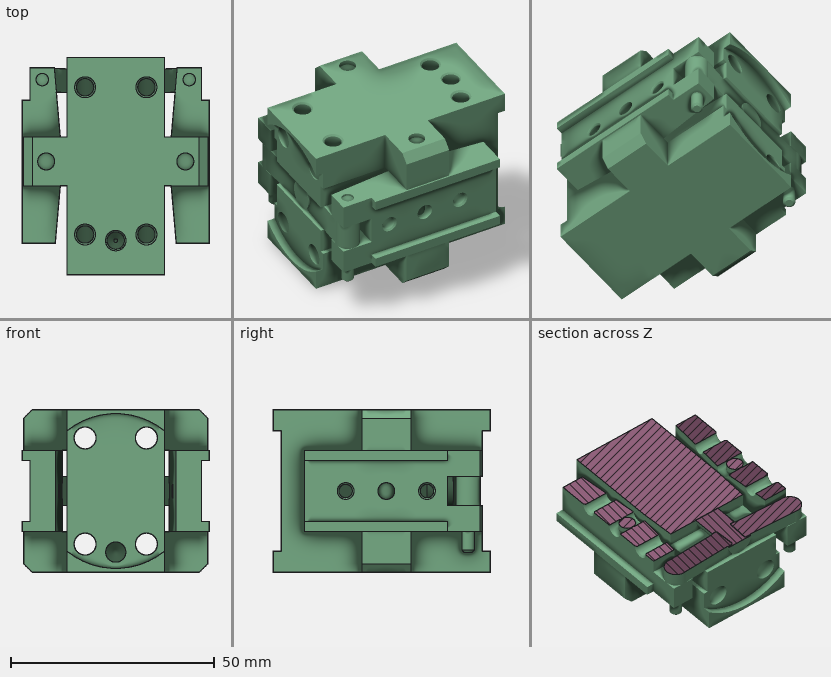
import cadquery as cq
import math


sides = (-1, 1)

core_width = 24.0
core_height = 40.0
overall_length = 53.4
back_y = overall_length / 2
front_y = -overall_length / 2

recess_radius = 19.0
recess_depth = 2.0

arm_span = 45.25
arm_length = 12.0
arm_chamfer = 2.15
pivot_x = 17.1
pivot_y = 1.1
pivot_diameter = 4.15
pivot_recess = 1.25

jaw_height = 19.95
jaw_span = 46.0
jaw_outer_x = jaw_span / 2
jaw_back_y = 24.15
jaw_front_y = -19.0
jaw_crest_radius = 4.0
jaw_taper = 5.0
flange_height = 2.5
flange_depth = 1.9
jaw_face_x = jaw_outer_x - flange_depth
jaw_crest_x = pivot_x - jaw_crest_radius
flange_end_y = 16.2
jaw_hole_spacing = 10.0
jaw_thread_diameter = 3.3
jaw_thread_mouth = 4.1

link_height = 7.15
link_x = 18.05
link_y = 21.2
link_radius = 3.0
link_bar_width = 5.9
link_end_x = 2.15
link_tilt = 2.6
pin_diameter = 3.05
pin_recess = 0.55
pin_bottom_z = -15.05
pin_chamfer = 0.55

slot_front_y = 11.15
rod_radius = link_height / 2
rod_back_y = 24.05
relief_depth = 1.1

bolt_x = 7.55
bolt_z = 13.05
bolt_diameter = 5.35
thread_back_y = 19.35
thread_front_y = -16.8
thread_diameter = 4.25
thread_mouth = 5.1
port_depth = 5.35
drill_tip_angle = 118.0
front_port_diameter = 4.95
front_port_z = -15.0
top_port_y = -18.3
top_port_diameter = 4.25
top_port_mouth = 5.0
duct_diameter = 0.9
duct_length = 2.15


def box(x_range, y_range, z_range):
    """Box between the given limits."""
    size = [high - low for low, high in (x_range, y_range, z_range)]
    corner = (x_range[0], y_range[0], z_range[0])
    return cq.Workplane(cq.Solid.makeBox(*size, cq.Vector(*corner)))


def cylinder(radius, start, length, direction):
    """Cylinder that starts at a point and runs along a direction."""
    return cq.Workplane(
        cq.Solid.makeCylinder(radius, length, cq.Vector(*start), cq.Vector(*direction))
    )


def cone(radius, end_radius, start, length, direction):
    """Cone or conical frustum that starts at a point and runs along a direction."""
    return cq.Workplane(
        cq.Solid.makeCone(radius, end_radius, length, cq.Vector(*start), cq.Vector(*direction))
    )


def chamfered_hole(diameter, mouth, start, length, direction):
    """Cutter for a hole with a 45 degree chamfer at its mouth."""
    chamfer = (mouth - diameter) / 2
    mouth_cone = cone(mouth / 2, diameter / 2, start, chamfer, direction)
    return cylinder(diameter / 2, start, length, direction).union(mouth_cone)


def drill_tip(diameter, start, direction):
    """Cutter for the conical bottom of a drilled hole."""
    tip_length = diameter / 2 / math.tan(math.radians(drill_tip_angle / 2))
    return cone(diameter / 2, 0, start, tip_length, direction)


def end_recess(floor_y, outward):
    """Cutter for the round recess in an end face; outward is +1 or -1 along Y."""
    return cylinder(recess_radius, (0, floor_y, 0), recess_depth, (0, outward, 0))


def bolt_holes():
    """Cutter for the four bolt holes that run the full length."""
    holes = cq.Workplane()
    for x in (-bolt_x, bolt_x):
        for z in (-bolt_z, bolt_z):
            holes = holes.add(cylinder(bolt_diameter / 2, (x, front_y, z), overall_length, (0, 1, 0)))
    return holes.combine()


def front_port():
    """Cutter for the air port that enters through the -Y end face."""
    tip_start = (0, front_y + recess_depth + port_depth, front_port_z)
    length = recess_depth + port_depth
    bore = cylinder(front_port_diameter / 2, (0, front_y, front_port_z), length, (0, 1, 0))
    return bore.union(drill_tip(front_port_diameter, tip_start, (0, 1, 0)))


def top_port():
    """Cutter for the air port in the top face, with a thin duct at its bottom."""
    down = (0, 0, -1)
    top_z = core_height / 2
    bore = chamfered_hole(top_port_diameter, top_port_mouth, (0, top_port_y, top_z), port_depth, down)
    bore_end = (0, top_port_y, top_z - port_depth)
    duct_end = (0, top_port_y, top_z - port_depth - duct_length)
    bore = bore.union(drill_tip(top_port_diameter, bore_end, down))
    bore = bore.union(cylinder(duct_diameter / 2, bore_end, duct_length, down))
    return bore.union(drill_tip(duct_diameter, duct_end, down))


def top_threads():
    """Cutter for the four threaded holes that run from the top face into the bolt holes."""
    holes = cq.Workplane()
    for x in (-bolt_x, bolt_x):
        for y in (thread_front_y, thread_back_y):
            start = (x, y, core_height / 2)
            length = core_height / 2 - bolt_z
            holes = holes.add(chamfered_hole(thread_diameter, thread_mouth, start, length, (0, 0, -1)))
    return holes.combine()


def pivot_arms():
    """Upper and lower cross arms with a chamfer along each outer edge."""
    arm_y = (pivot_y - arm_length / 2, pivot_y + arm_length / 2)
    half_span = arm_span / 2
    half_height = core_height / 2
    arms = box((-half_span, half_span), arm_y, (-half_height, half_height))
    arms = arms.edges("|Y").chamfer(arm_chamfer)
    jaw_gap = box((-half_span, half_span), arm_y, (-jaw_height / 2, jaw_height / 2))
    return arms.cut(jaw_gap)


def drive_slot():
    """Cutter for the cross slot at the drive end."""
    half_width = core_width / 2
    return box((-half_width, half_width), (slot_front_y, back_y), (-link_height / 2, link_height / 2))


def side_relief(side):
    """Cutter for the wedge that gives a jaw room to swing, from the pivot to the drive end."""
    wall_x = side * core_width / 2
    back_floor_y = back_y - recess_depth
    outline = [(wall_x, pivot_y), (wall_x, back_floor_y), (wall_x - side * relief_depth, back_floor_y)]
    return cq.Workplane("XY").polyline(outline).close().extrude(jaw_height / 2, both=True)


def make_housing():
    half_width = core_width / 2
    half_height = core_height / 2
    core = box((-half_width, half_width), (front_y, back_y), (-half_height, half_height))
    housing = core.union(pivot_arms())
    housing = housing.cut(end_recess(front_y + recess_depth, -1))
    housing = housing.cut(end_recess(back_y - recess_depth, 1))
    for cutter in (drive_slot(), bolt_holes(), front_port(), top_port(), top_threads()):
        housing = housing.cut(cutter)
    for side in sides:
        x = side * pivot_x
        housing = housing.cut(side_relief(side))
        pivot = cylinder(pivot_diameter / 2, (x, pivot_y, -jaw_height / 2), jaw_height, (0, 0, 1))
        recess = cylinder(pivot_diameter / 2, (x, pivot_y, half_height), pivot_recess, (0, 0, -1))
        housing = housing.union(pivot).cut(recess)
    return housing


def jaw_blank(side):
    """Jaw without holes: a bar with a round inner crest and a flange along both outer edges."""
    taper = math.radians(jaw_taper)
    tangent_x = pivot_x - jaw_crest_radius * math.cos(taper)
    tangent_offset = jaw_crest_radius * math.sin(taper)
    back_tangent_y = pivot_y + tangent_offset
    front_tangent_y = pivot_y - tangent_offset
    back_inner_x = tangent_x + (jaw_back_y - back_tangent_y) * math.tan(taper)
    front_inner_x = tangent_x + (front_tangent_y - jaw_front_y) * math.tan(taper)
    blank = (
        cq.Workplane("XY")
        .moveTo(side * jaw_outer_x, jaw_front_y)
        .lineTo(side * jaw_outer_x, flange_end_y)
        .lineTo(side * jaw_face_x, flange_end_y)
        .lineTo(side * jaw_face_x, jaw_back_y)
        .lineTo(side * back_inner_x, jaw_back_y)
        .lineTo(side * tangent_x, back_tangent_y)
        .threePointArc((side * jaw_crest_x, pivot_y), (side * tangent_x, front_tangent_y))
        .lineTo(side * front_inner_x, jaw_front_y)
        .close()
        .extrude(jaw_height / 2, both=True)
    )
    channel_x = sorted((side * jaw_face_x, side * jaw_outer_x))
    channel_half_height = jaw_height / 2 - flange_height
    channel = box(channel_x, (jaw_front_y, flange_end_y), (-channel_half_height, channel_half_height))
    return blank.cut(channel)


def make_jaw(side):
    """Jaw on the side given as -1 or +1 along X."""
    depth = jaw_face_x - jaw_crest_x
    inward = (-side, 0, 0)
    jaw = jaw_blank(side)

    fork_x = sorted((side * jaw_crest_x, side * jaw_face_x))
    jaw = jaw.cut(box(fork_x, (flange_end_y, jaw_back_y), (-link_height / 2, link_height / 2)))

    jaw = jaw.cut(cylinder(jaw_thread_mouth / 2, (side * jaw_face_x, pivot_y, 0), depth, inward))
    for offset in (-jaw_hole_spacing, jaw_hole_spacing):
        start = (side * jaw_face_x, pivot_y + offset, 0)
        jaw = jaw.cut(chamfered_hole(jaw_thread_diameter, jaw_thread_mouth, start, depth, inward))

    for x, y, diameter in ((pivot_x, pivot_y, pivot_diameter), (link_x, link_y, pin_diameter)):
        start = (side * x, y, -jaw_height / 2)
        jaw = jaw.cut(cylinder(diameter / 2, start, jaw_height, (0, 0, 1)))
    return jaw


def make_link(side):
    """Link with a round eye in the jaw fork, one piece with the pin through that eye."""
    x = side * link_x
    half_height = link_height / 2
    eye = cylinder(link_radius, (x, link_y, -half_height), link_height, (0, 0, 1))

    bar_x = sorted((side * link_end_x, x))
    bar_y = (link_y - link_bar_width / 2, link_y + link_bar_width / 2)
    bar = box(bar_x, bar_y, (-half_height, half_height))
    bar = bar.rotate((x, link_y, 0), (x, link_y, 1), side * link_tilt)

    pin_length = jaw_height / 2 - pin_recess - pin_bottom_z
    pin = cylinder(pin_diameter / 2, (x, link_y, pin_bottom_z), pin_length, (0, 0, 1))
    pin = pin.faces("<Z").chamfer(pin_chamfer)
    return eye.union(bar).union(pin)


def make_rod():
    """Drive rod along Y, notched on both sides for the links."""
    rod = cylinder(rod_radius, (0, slot_front_y, 0), rod_back_y - slot_front_y, (0, 1, 0))
    for link in links:
        rod = rod.cut(link)
    return rod


housing = make_housing()
jaws = [make_jaw(side) for side in sides]
links = [make_link(side) for side in sides]
rod = make_rod()

result = cq.Compound.makeCompound(
    [housing.val(), rod.val(), *[jaw.val() for jaw in jaws], *[link.val() for link in links]]
)